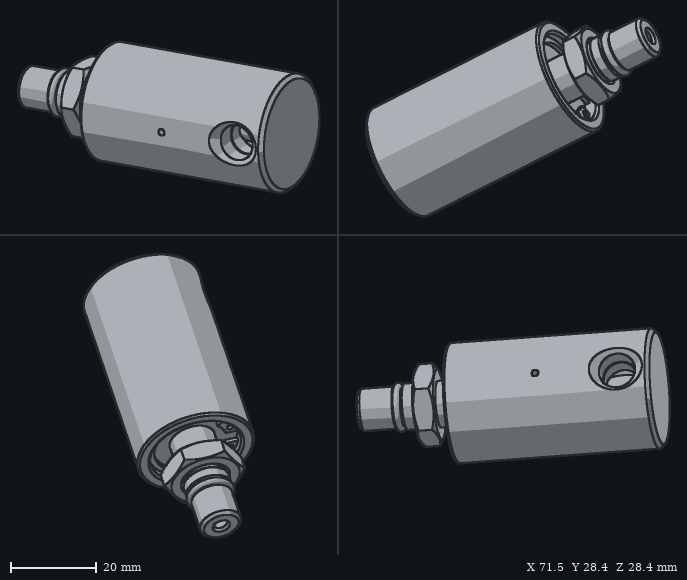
import cadquery as cq
import math

TOTAL_LENGTH = 71.5

HOUSING_DIAMETER = 28.4
HOUSING_FRONT_X = 22.3
FRONT_EDGE_CHAMFER = 0.5
REAR_EDGE_CHAMFER = 1.0

RECESS_MOUTH_DIAMETER = 23.3
RECESS_DIAMETER = 22.1
RECESS_DEPTH = 3.6

RING_INNER_DIAMETER = 19.2
RING_THICKNESS = 1.0
RING_FACE_DEPTH = 2.15
RING_GAP_WIDTH = 4.1
LUG_INNER_DIAMETER = 16.0
LUG_HALF_ANGLE = 44.0
LUG_HOLE_DIAMETER = 1.6
LUG_HOLE_Y = -8.85
LUG_HOLE_Z = 3.9

PORT_X = 63.55
PORT_SINK_DIAMETER = 12.65
PORT_MOUTH_DIAMETER = 8.6
PORT_TAPER_LENGTH = 4.6
PORT_TAPER_RATIO = 1 / 16
PORT_DRILL_DIAMETER = 7.9
PORT_DRILL_END_Y = -3.0
DRILL_POINT_ANGLE = 118.0

VENT_X = 44.4
VENT_DIAMETER = 1.6

NOSE_DIAMETER = 10.0
NOSE_CHAMFER = 0.8
NOSE_END_X = 8.4
GROOVE_DIAMETER = 8.3
SEAL_X = 9.6
SEAL_DIAMETER = 11.65
SEAL_THICKNESS = 1.7
GROOVE_END_X = 11.0
SHAFT_DIAMETER = 11.0
RELIEF_X = 13.45
RELIEF_DIAMETER = 10.45
CORE_DIAMETER = 7.6
CORE_END_X = 68.6
BORE_DIAMETER = 3.2
BORE_CHAMFER = 0.5
BORE_CHAMFER_LENGTH = 0.7

HEX_X = 14.0
HEX_LENGTH = 5.0
HEX_ACROSS_FLATS = 17.0
HEX_FACE_DIAMETER = 16.6
HEX_CHAMFER_ANGLE = 30.0
HEX_SINK_DIAMETER = 12.0

HOUSING_RADIUS = HOUSING_DIAMETER / 2
RECESS_FLOOR_X = HOUSING_FRONT_X + RECESS_DEPTH
RING_X = HOUSING_FRONT_X + RING_FACE_DEPTH
HEX_SINK_DEPTH = (HEX_SINK_DIAMETER - RELIEF_DIAMETER) / 2 * math.tan(math.radians(HEX_CHAMFER_ANGLE))
RELIEF_END_X = HEX_X + HEX_SINK_DEPTH


def disc(x, length, diameter):
    """Solid cylinder on the X axis, starting at x."""
    return cq.Workplane("YZ").workplane(offset=x).circle(diameter / 2).extrude(length)


def revolve_about_x(points):
    """Solid turned about the X axis from (x, radius) points."""
    return cq.Workplane("XY").polyline(points).close().revolve(360, (0, 0, 0), (1, 0, 0))


def retaining_ring():
    """Open ring with two lugs, each with a plier hole, beside the gap."""
    band = disc(RING_X, RING_THICKNESS, RECESS_DIAMETER).cut(
        disc(RING_X, RING_THICKNESS, RING_INNER_DIAMETER)
    )
    lug_reach = RECESS_DIAMETER
    lug_side = lug_reach * math.tan(math.radians(LUG_HALF_ANGLE))
    lug_sector = (
        cq.Workplane("YZ")
        .workplane(offset=RING_X)
        .polyline([(0, 0), (-lug_reach, -lug_side), (-lug_reach, lug_side)])
        .close()
        .extrude(RING_THICKNESS)
    )
    lugs = (
        disc(RING_X, RING_THICKNESS, RECESS_DIAMETER)
        .cut(disc(RING_X, RING_THICKNESS, LUG_INNER_DIAMETER))
        .intersect(lug_sector)
    )
    gap = cq.Workplane("XY").box(
        RING_THICKNESS, HOUSING_RADIUS, RING_GAP_WIDTH, centered=(False, False, True)
    ).translate((RING_X, -HOUSING_RADIUS, 0))
    holes = (
        cq.Workplane("YZ")
        .workplane(offset=RING_X)
        .pushPoints([(LUG_HOLE_Y, -LUG_HOLE_Z), (LUG_HOLE_Y, LUG_HOLE_Z)])
        .circle(LUG_HOLE_DIAMETER / 2)
        .extrude(RING_THICKNESS)
    )
    return band.union(lugs).cut(gap).cut(holes)


def port_cutter():
    """Countersunk, slightly tapered port that ends in a drilled hole, along Y."""
    sink_radius = PORT_SINK_DIAMETER / 2
    mouth_radius = PORT_MOUTH_DIAMETER / 2
    inner_radius = mouth_radius - PORT_TAPER_LENGTH * PORT_TAPER_RATIO / 2
    mouth_y = -HOUSING_RADIUS + sink_radius - mouth_radius
    inner_y = mouth_y + PORT_TAPER_LENGTH
    drill_radius = PORT_DRILL_DIAMETER / 2
    tip_y = PORT_DRILL_END_Y + drill_radius / math.tan(math.radians(DRILL_POINT_ANGLE / 2))
    profile = [
        (PORT_X, -HOUSING_RADIUS),
        (PORT_X + sink_radius, -HOUSING_RADIUS),
        (PORT_X + mouth_radius, mouth_y),
        (PORT_X + inner_radius, inner_y),
        (PORT_X + drill_radius, inner_y),
        (PORT_X + drill_radius, PORT_DRILL_END_Y),
        (PORT_X, tip_y),
    ]
    return cq.Workplane("XY").polyline(profile).close().revolve(360, (PORT_X, 0, 0), (PORT_X, 1, 0))


def vent_cutter():
    """Round hole from the -Y side to the bore that holds the rotor."""
    return (
        cq.Workplane("XZ", origin=(VENT_X, 0, 0)).circle(VENT_DIAMETER / 2).extrude(HOUSING_RADIUS)
    )


def make_housing():
    front_radius = HOUSING_RADIUS - FRONT_EDGE_CHAMFER
    rear_radius = HOUSING_RADIUS - REAR_EDGE_CHAMFER
    mouth_radius = RECESS_MOUTH_DIAMETER / 2
    recess_radius = RECESS_DIAMETER / 2
    shell = revolve_about_x([
        (HOUSING_FRONT_X, mouth_radius),
        (HOUSING_FRONT_X, front_radius),
        (HOUSING_FRONT_X + FRONT_EDGE_CHAMFER, HOUSING_RADIUS),
        (TOTAL_LENGTH - REAR_EDGE_CHAMFER, HOUSING_RADIUS),
        (TOTAL_LENGTH, rear_radius),
        (TOTAL_LENGTH, 0),
        (CORE_END_X, 0),
        (CORE_END_X, CORE_DIAMETER / 2),
        (RECESS_FLOOR_X, CORE_DIAMETER / 2),
        (RECESS_FLOOR_X, recess_radius),
        (HOUSING_FRONT_X + mouth_radius - recess_radius, recess_radius),
    ])
    return shell.union(retaining_ring()).cut(port_cutter()).cut(vent_cutter())


def hexagon():
    """Hexagon with corners on +Y and -Y, both ends chamfered and the -X end countersunk."""
    corner_radius = HEX_ACROSS_FLATS / math.sqrt(3)
    face_radius = HEX_FACE_DIAMETER / 2
    chamfer_length = (corner_radius - face_radius) * math.tan(math.radians(HEX_CHAMFER_ANGLE))
    end_x = HEX_X + HEX_LENGTH
    prism = (
        cq.Workplane("YZ").workplane(offset=HEX_X).polygon(6, 2 * corner_radius).extrude(HEX_LENGTH)
    )
    envelope = revolve_about_x([
        (HEX_X, 0),
        (HEX_X, face_radius),
        (HEX_X + chamfer_length, corner_radius),
        (end_x - chamfer_length, corner_radius),
        (end_x, face_radius),
        (end_x, 0),
    ])
    sink_radius = HEX_SINK_DIAMETER / 2
    relief_radius = RELIEF_DIAMETER / 2
    sink = revolve_about_x([
        (HEX_X, 0),
        (HEX_X, sink_radius),
        (RELIEF_END_X, relief_radius),
        (RELIEF_END_X, 0),
    ])
    return prism.intersect(envelope).cut(sink)


def seal_ring():
    """Round-section ring standing in the groove behind the nose."""
    section_radius = SEAL_THICKNESS / 2
    section_center = (SEAL_X, SEAL_DIAMETER / 2 - section_radius)
    return (
        cq.Workplane("XY")
        .moveTo(*section_center)
        .circle(section_radius)
        .revolve(360, (0, 0, 0), (1, 0, 0))
    )


def bore_cutter():
    """Blind bore from the nose to the port axis, with a countersunk mouth."""
    bore_radius = BORE_DIAMETER / 2
    return revolve_about_x([
        (0, 0),
        (0, bore_radius + BORE_CHAMFER),
        (BORE_CHAMFER_LENGTH, bore_radius),
        (PORT_X, bore_radius),
        (PORT_X, 0),
    ])


def make_rotor():
    nose_radius = NOSE_DIAMETER / 2
    groove_radius = GROOVE_DIAMETER / 2
    shaft_radius = SHAFT_DIAMETER / 2
    relief_radius = RELIEF_DIAMETER / 2
    core_radius = CORE_DIAMETER / 2
    spindle = revolve_about_x([
        (0, 0),
        (0, nose_radius - NOSE_CHAMFER),
        (NOSE_CHAMFER, nose_radius),
        (NOSE_END_X, nose_radius),
        (NOSE_END_X, groove_radius),
        (GROOVE_END_X, groove_radius),
        (GROOVE_END_X, shaft_radius),
        (RELIEF_X, shaft_radius),
        (RELIEF_X, relief_radius),
        (RELIEF_END_X, relief_radius),
        (RELIEF_END_X, shaft_radius),
        (RECESS_FLOOR_X, shaft_radius),
        (RECESS_FLOOR_X, core_radius),
        (CORE_END_X, core_radius),
        (CORE_END_X, 0),
    ])
    return spindle.union(hexagon()).union(seal_ring()).cut(bore_cutter())


housing = make_housing()
rotor = make_rotor()
result = cq.Compound.makeCompound([housing.val(), rotor.val()])